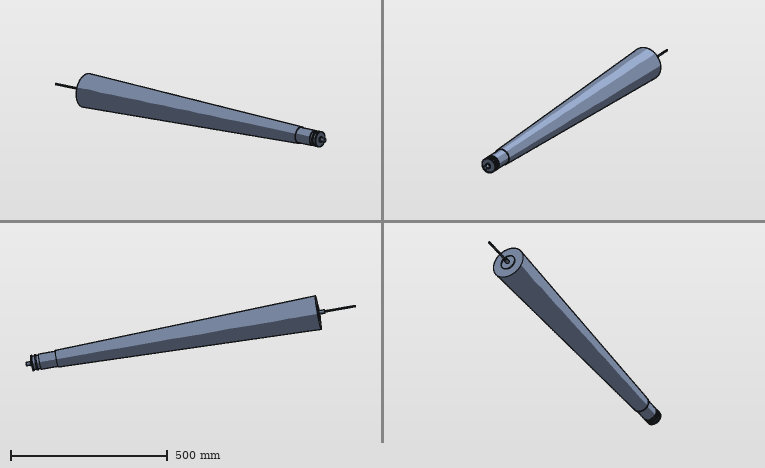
import cadquery as cq

overall_length = 1070.0

rod_diameter = 5.0
rod_length = 100.0
shank_diameter = 12.0
stub_length = 18.0
flange_diameter = 50.0
flange_thickness = 3.0

body_length = 850.0
body_large_diameter = 110.0
body_small_diameter = 55.0

neck_length = 51.0
ring_diameter = flange_diameter
ring_width = 4.0
ring_count = 3
groove_diameter = 44.0
groove_width = 9.0
hub_diameter = 18.0
hub_length = 3.0

flange_start = rod_length + stub_length
body_start = flange_start + flange_thickness
neck_start = body_start + body_length
stack_start = neck_start + neck_length
ring_pitch = ring_width + groove_width
hub_start = stack_start + (ring_count - 1) * ring_pitch + ring_width
rear_shank_start = hub_start + hub_length


def cylinder(start, end, diameter):
    """Solid cylinder on the X axis from start to end."""
    return cq.Workplane("YZ", origin=(start, 0, 0)).circle(diameter / 2).extrude(end - start)


def front_end():
    """Thin rod, stub and flange."""
    rod = cylinder(0, rod_length, rod_diameter)
    stub = cylinder(rod_length, flange_start, shank_diameter)
    flange = cylinder(flange_start, body_start, flange_diameter)
    return rod.union(stub).union(flange)


def tapered_body():
    """Straight cone, revolved about the X axis."""
    profile = cq.Workplane("XY").polyline(
        [
            (body_start, 0),
            (body_start, body_large_diameter / 2),
            (neck_start, body_small_diameter / 2),
            (neck_start, 0),
        ]
    )
    return profile.close().revolve(360, (0, 0, 0), (1, 0, 0))


def ring_stack():
    """Rings on a smaller core, which leaves grooves between them."""
    stack = cylinder(stack_start, hub_start, groove_diameter)
    for i in range(ring_count):
        ring_start = stack_start + i * ring_pitch
        stack = stack.union(cylinder(ring_start, ring_start + ring_width, ring_diameter))
    return stack


def rear_end():
    """Neck, ring stack, hub and shank; the neck is flush with the rings."""
    neck = cylinder(neck_start, stack_start, ring_diameter)
    hub = cylinder(hub_start, rear_shank_start, hub_diameter)
    shank = cylinder(rear_shank_start, overall_length, shank_diameter)
    return neck.union(ring_stack()).union(hub).union(shank)


result = tapered_body().union(front_end()).union(rear_end())